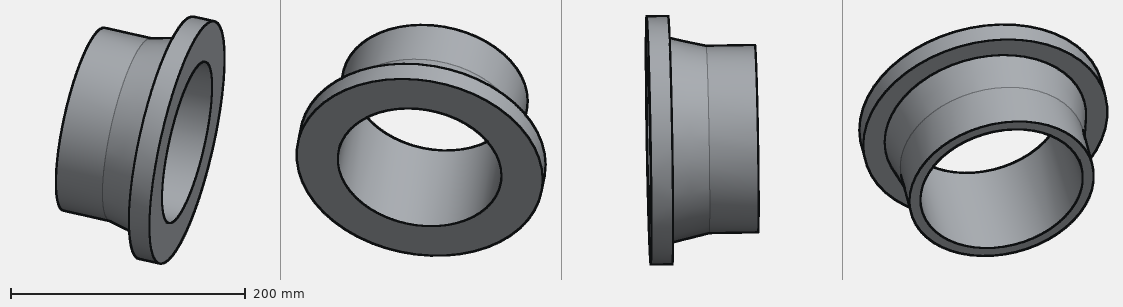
import cadquery as cq

total_length = 92.0
pipe_length = 41.8
flange_thickness = 18.5

flange_diameter = 212.0
neck_diameter = 175.0
pipe_diameter = 160.0
bore_diameter = 141.0

flange_start = total_length - flange_thickness
bore_radius = bore_diameter / 2
pipe_radius = pipe_diameter / 2
neck_radius = neck_diameter / 2
flange_radius = flange_diameter / 2

half_section = (
    cq.Workplane("XY")
    .moveTo(0, bore_radius)
    .lineTo(0, pipe_radius)
    .lineTo(pipe_length, pipe_radius)
    .lineTo(flange_start, neck_radius)
    .lineTo(flange_start, flange_radius)
    .lineTo(total_length, flange_radius)
    .lineTo(total_length, bore_radius)
    .close()
)

result = half_section.revolve(360, (0, 0, 0), (1, 0, 0))